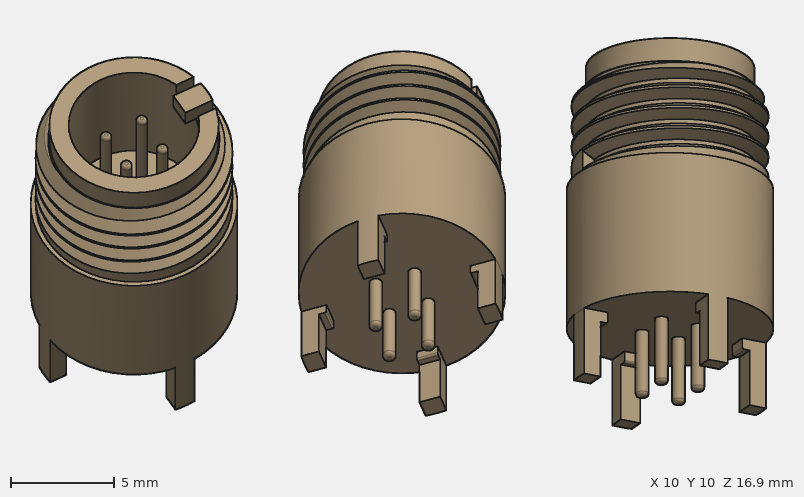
import cadquery as cq
import math

total_height = 16.9
body_bottom = 3.4
body_top = 10.6
collar_top = 15.7
socket_floor = body_top

body_radius = 5.0
thread_radius = 4.77
nose_radius = 4.09
socket_radius = 3.16

groove_turns = 5.3
groove_rise = 5.61
pitch = groove_rise / groove_turns
thread_depth = 0.6
lead_in = 0.63
flank_angle = 30
crest_width = pitch / 8
groove_start = 11.3
groove_overcut = 0.08

keyway_width = 2.16
keyway_depth = 0.88
key_width = 1.18
key_inner_end = 2.52

pin_offset = 1.0
pin_radius = 0.27
pin_top = 15.62
tail_radius = 0.32
tip_rounding_share = 0.7

leg_count = 4
leg_width = 1.06
leg_inner = 4.07
leg_heel_inner = 3.68
leg_heel_height = 0.55
leg_heel_rounding = 0.1


def cylinder(radius, bottom, top):
    return cq.Workplane("XY").workplane(offset=bottom).circle(radius).extrude(top - bottom)


def make_groove():
    """Trapezoidal groove swept along a helix that starts on the -X side."""
    root_radius = thread_radius - thread_depth
    outer_radius = thread_radius + groove_overcut
    slope = math.tan(math.radians(flank_angle))
    mouth_half = (pitch - crest_width) / 2
    root_half = mouth_half - thread_depth * slope
    outer_half = mouth_half + groove_overcut * slope
    helix = cq.Wire.makeHelix(pitch, groove_rise, root_radius)
    groove = (
        cq.Workplane("XZ")
        .polyline([
            (root_radius, -root_half),
            (outer_radius, -outer_half),
            (outer_radius, outer_half),
            (root_radius, root_half),
        ])
        .close()
        .sweep(cq.Workplane(helix), isFrenet=True)
    )
    half_turn = 180
    return groove.rotate((0, 0, 0), (0, 0, 1), half_turn).translate((0, 0, groove_start))


def make_lead_in_envelope():
    """Solid that trims the collar flat on top, with a 45 degree lead-in cone."""
    return (
        cq.Workplane("XZ")
        .moveTo(0, body_top)
        .lineTo(thread_radius + lead_in, body_top)
        .lineTo(thread_radius + lead_in, collar_top - 2 * lead_in)
        .lineTo(thread_radius - lead_in, collar_top)
        .lineTo(0, collar_top)
        .close()
        .revolve(360, (0, 0, 0), (0, 1, 0))
    )


def make_collar():
    """Threaded collar; the blank is taller than the groove and trimmed after threading."""
    blank_top = groove_start + groove_rise + pitch
    blank = cylinder(thread_radius, body_top, blank_top)
    return blank.cut(make_groove()).intersect(make_lead_in_envelope())


def make_shell():
    body = cylinder(body_radius, body_bottom, body_top)
    nose = cylinder(nose_radius, body_top, total_height)
    socket = cylinder(socket_radius, socket_floor, total_height)
    return body.union(make_collar()).union(nose).cut(socket)


def make_keyway():
    return cq.Workplane("XY").box(
        keyway_width, body_radius, keyway_depth, centered=(True, False, False)
    ).translate((0, 0, total_height - keyway_depth))


def make_key():
    """Key bar, its outer end flush with the round nose."""
    bottom = total_height - keyway_depth
    bar = cq.Workplane("XY").box(
        key_width, nose_radius - key_inner_end, keyway_depth, centered=(True, False, False)
    ).translate((0, key_inner_end, bottom))
    return bar.intersect(cylinder(nose_radius, bottom, total_height))


def make_pin():
    contact = cylinder(pin_radius, socket_floor, pin_top)
    contact = contact.faces(">Z").edges().fillet(pin_radius * tip_rounding_share)
    tail = cylinder(tail_radius, 0, body_bottom)
    tail = tail.faces("<Z").edges().fillet(tail_radius * tip_rounding_share)
    return contact.union(tail)


def make_leg():
    """Leg on the +X side with a heel under the body and a round outer face."""
    heel_bottom = body_bottom - leg_heel_height
    leg = (
        cq.Workplane("XZ")
        .moveTo(body_radius, 0)
        .lineTo(leg_inner, 0)
        .lineTo(leg_inner, heel_bottom)
        .lineTo(leg_heel_inner + leg_heel_rounding, heel_bottom)
        .radiusArc((leg_heel_inner, heel_bottom + leg_heel_rounding), leg_heel_rounding)
        .lineTo(leg_heel_inner, body_bottom)
        .lineTo(body_radius, body_bottom)
        .close()
        .extrude(leg_width / 2, both=True)
    )
    return leg.intersect(cylinder(body_radius, 0, body_bottom))


result = make_shell().cut(make_keyway()).union(make_key())

for x in (-pin_offset, pin_offset):
    for y in (-pin_offset, pin_offset):
        result = result.union(make_pin().translate((x, y, 0)))

for leg_number in range(leg_count):
    leg_angle = 360 / leg_count * leg_number
    result = result.union(make_leg().rotate((0, 0, 0), (0, 0, 1), leg_angle))